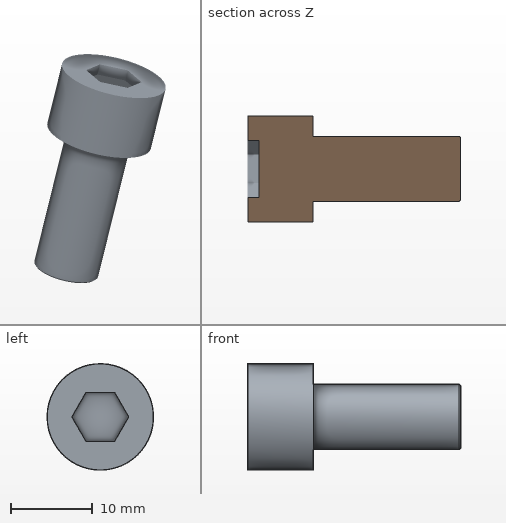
import cadquery as cq
import math

total_length = 26.0
head_diameter = total_length / 2
shank_diameter = 8.0
head_length = shank_diameter
tip_chamfer = 0.2

socket_across_flats = 6.0
socket_across_corners = socket_across_flats / math.cos(math.radians(30))
socket_depth = 1.35


def make_head():
    return cq.Workplane("YZ").circle(head_diameter / 2).extrude(head_length)


def make_shank():
    shank_length = total_length - head_length
    shank = (
        cq.Workplane("YZ", origin=(head_length, 0, 0))
        .circle(shank_diameter / 2)
        .extrude(shank_length)
    )
    return shank.faces(">X").chamfer(tip_chamfer)


def make_socket():
    return (
        cq.Workplane("YZ")
        .polygon(6, socket_across_corners)
        .extrude(socket_depth)
    )


result = make_head().union(make_shank()).cut(make_socket())